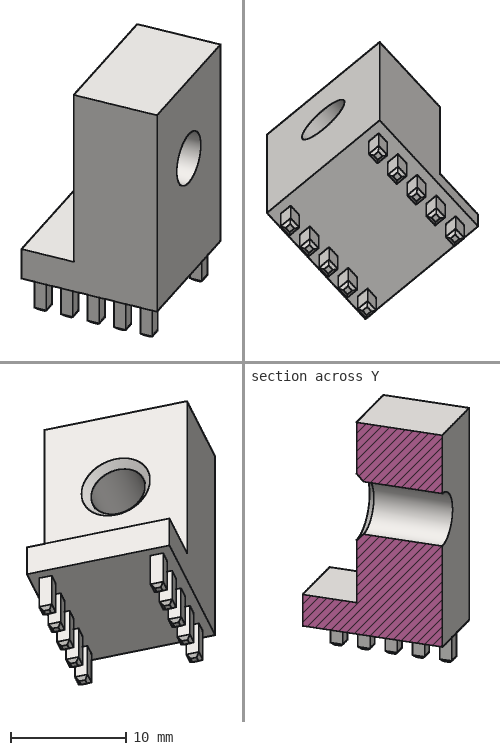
import cadquery as cq

body_length = 13.0
body_width = 13.0
total_height = 23.5
pin_length = 3.5
foot_height = 3.0
upright_thickness = 8.0
body_height = total_height - pin_length

hole_diameter = 4.9
countersink_diameter = 6.25
countersink_angle = 90.0
hole_height = 12.0

pin_size = 1.15
pin_tip_chamfer = 0.3
pin_pitch = 2.54
pins_per_row = 5
row_spacing = (pins_per_row - 1) * pin_pitch


def make_body():
    """L-shaped block standing on Z = 0, centred on X and Y."""
    foot = cq.Workplane("XY").box(body_length, body_width, foot_height, centered=(True, True, False))
    upright = (
        cq.Workplane("XY")
        .center((body_length - upright_thickness) / 2, 0)
        .box(upright_thickness, body_width, body_height, centered=(True, True, False))
    )
    return foot.union(upright)


def drill_hole(body):
    """Countersunk hole along X through the upright."""
    upright_face_x = body_length / 2 - upright_thickness
    return (
        body.copyWorkplane(cq.Workplane("YZ", origin=(upright_face_x, 0, hole_height)))
        .transformed(rotate=(0, 180, 0))
        .cskHole(hole_diameter, countersink_diameter, countersink_angle)
    )


def make_pin(x, y):
    """Square pin hanging below Z = 0 with a tapered tip."""
    return (
        cq.Workplane("XY", origin=(x, y, 0))
        .rect(pin_size, pin_size)
        .extrude(-pin_length)
        .faces("<Z")
        .chamfer(pin_tip_chamfer)
    )


result = drill_hole(make_body())
for row_y in (-row_spacing / 2, row_spacing / 2):
    for index in range(pins_per_row):
        pin_x = (index - (pins_per_row - 1) / 2) * pin_pitch
        result = result.union(make_pin(pin_x, row_y))